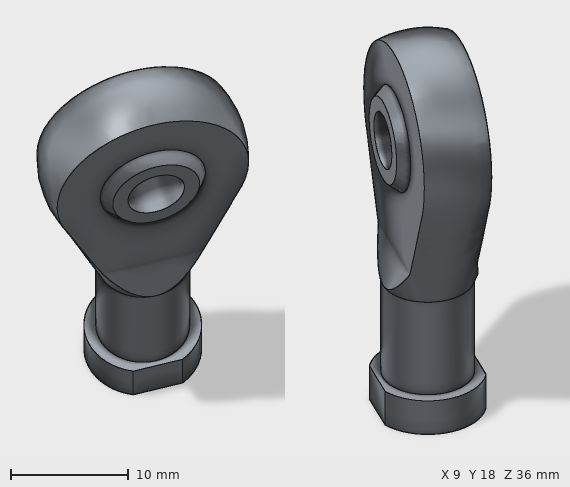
import cadquery as cq
import math

total_height = 36.0

head_radius = 9.0
head_width = 6.0
head_center_z = total_height - head_radius

neck_bottom_z = 12.55
neck_top_z = 23.05
neck_top_radius = math.sqrt(head_radius**2 - (head_center_z - neck_top_z) ** 2)
cheek_bottom_z = 16.0

shank_radius = 4.0
collar_radius = 5.0
collar_height = 3.35
collar_across_flats = 9.0

ball_radius = 5.55
ball_width = 8.0
bore_diameter = 5.0


def make_sphere(radius):
    """Sphere about the centre of the head."""
    return cq.Workplane("XY", origin=(0, 0, head_center_z)).sphere(radius)


def make_turned_blank():
    """Shank and neck turned about Z, joined to the head sphere."""
    stem = (
        cq.Workplane("XZ")
        .moveTo(0, 0)
        .lineTo(shank_radius, 0)
        .lineTo(shank_radius, neck_bottom_z)
        .lineTo(neck_top_radius, neck_top_z)
        .lineTo(0, neck_top_z)
        .close()
        .revolve(360, (0, 0, 0), (0, 1, 0))
    )
    return stem.union(make_sphere(head_radius))


def make_cheek_envelope():
    """Prism along Y that leaves the shank round and flattens the neck and head."""
    half_width = head_width / 2
    return (
        cq.Workplane("XZ")
        .moveTo(-shank_radius, 0)
        .lineTo(shank_radius, 0)
        .lineTo(shank_radius, neck_bottom_z)
        .lineTo(half_width, cheek_bottom_z)
        .lineTo(half_width, total_height)
        .lineTo(-half_width, total_height)
        .lineTo(-half_width, cheek_bottom_z)
        .lineTo(-shank_radius, neck_bottom_z)
        .close()
        .extrude(head_radius, both=True)
    )


def make_collar():
    """Round collar with two wrench flats facing -X and +X."""
    flats = cq.Workplane("XY").box(
        collar_across_flats, 2 * collar_radius, collar_height, centered=(True, True, False)
    )
    return cq.Workplane("XY").circle(collar_radius).extrude(collar_height).intersect(flats)


def make_housing():
    """Rod end body with a spherical seat for the ball."""
    body = make_turned_blank().intersect(make_cheek_envelope())
    return body.union(make_collar()).cut(make_sphere(ball_radius))


def make_ball():
    """Sphere with two flat end faces and a bore along X."""
    sleeve = (
        cq.Workplane("YZ", origin=(0, 0, head_center_z))
        .circle(ball_radius)
        .circle(bore_diameter / 2)
        .extrude(ball_width / 2, both=True)
    )
    return make_sphere(ball_radius).intersect(sleeve)


housing = make_housing()
ball = make_ball()
result = cq.Compound.makeCompound([housing.solids().val(), ball.solids().val()])